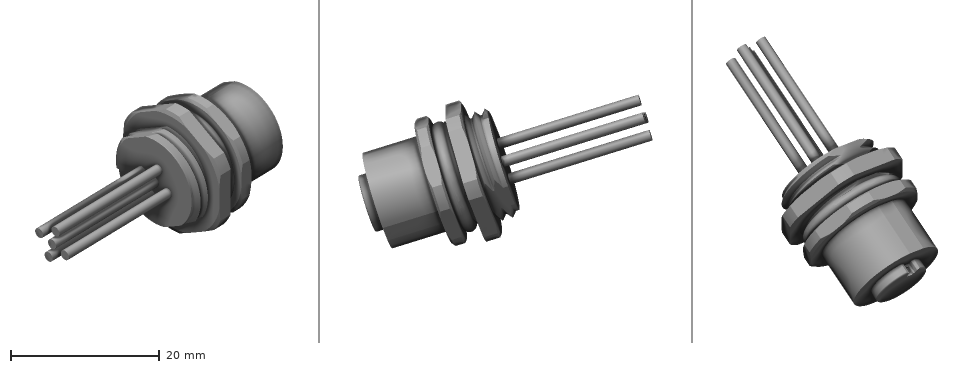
import cadquery as cq
import math


total_length = 39.5
cutter_clearance = 0.4

shell_length = 17.95
flange_back = 9.95
body_radius = 6.75
core_radius = 6.87
flat_angle = 120
flat_distance = 6.65

crest_radius = 7.6
pitch = 1.42
ridge_half_width = 0.67
ridge_root_overlap = 0.08
ridge_turns = 4.4
ridge_end_angle = 190
ridge_end_depth = 0.28

nut_front = 3.2
nut_width = 2.2
nut_across_flats = 18.0
nut_corner_radius = 9.75
nut_chamfer = (0.25, 0.6)
flange_width = 1.98
flange_across_flats = 17.05
flange_corner_radius = 9.0
flange_back_chamfer = (0.35, 0.45)
flange_front_chamfer = (0.28, 0.45)

ring_depth = 7.05
ring_radius = 6.8
ring_section_radius = 1.0

insert_length = 1.5
insert_radius = 4.0
insert_edge_fillet = 0.25
keyway_angle = 120
keyway_mouth_width = 2.35
keyway_mouth_radius = 3.8
keyway_width = 1.42
keyway_flare_radius = 3.65
keyway_floor_radius = 2.95
groove_width = 0.85
groove_floor_radius = 2.55
groove_length = 1.15

wire_length = total_length - shell_length - insert_length
wire_radius = 0.75
wire_circle_radius = 2.5
outer_wire_count = 4
first_wire_angle = 75


def cylinder(radius, depth, length):
    """Solid cylinder whose back end is at the given depth."""
    return cq.Workplane("XY").workplane(offset=-depth).circle(radius).extrude(length)


def hexagon(across_flats, corner_radius, depth, width, back_chamfer, front_chamfer):
    """Hexagon with two flats facing +X and -X, turned corners and optional chamfers."""
    corner_to_corner = across_flats / math.cos(math.pi / 6)
    prism = (
        cq.Workplane("XY")
        .workplane(offset=-depth)
        .transformed(rotate=(0, 0, 30))
        .polygon(6, corner_to_corner)
        .extrude(width)
    )
    blank = cylinder(corner_radius, depth, width)
    if back_chamfer:
        blank = blank.faces("<Z").chamfer(*back_chamfer)
    if front_chamfer:
        blank = blank.faces(">Z").chamfer(*front_chamfer)
    return prism.intersect(blank)


def thread_ridge():
    """Right-hand V ridge wound on the core, cut off level with the wire face."""
    height = ridge_turns * pitch
    start_angle = ridge_end_angle - 360 * ridge_turns
    helix = cq.Wire.makeHelix(pitch, height, core_radius)
    inner_radius = core_radius - ridge_root_overlap
    ridge = (
        cq.Workplane("XZ")
        .moveTo(inner_radius, -ridge_half_width)
        .lineTo(crest_radius, 0)
        .lineTo(inner_radius, ridge_half_width)
        .close()
        .sweep(cq.Workplane(obj=helix), isFrenet=True)
        .rotate((0, 0, 0), (0, 0, 1), start_angle)
        .translate((0, 0, -ridge_end_depth - height))
    )
    return ridge.intersect(cylinder(2 * crest_radius, shell_length, shell_length))


def flat_sided_slab():
    """Slab whose two faces are the parallel flats of the shell."""
    return (
        cq.Workplane("XY")
        .rect(2 * flat_distance, 4 * crest_radius)
        .extrude(-shell_length)
        .rotate((0, 0, 0), (0, 0, 1), flat_angle)
    )


def shell():
    """Plain body behind the flange and threaded core in front, with two flats."""
    body = cylinder(body_radius, shell_length, shell_length - flange_back)
    core = cylinder(core_radius, flange_back, flange_back)
    return core.union(thread_ridge()).union(body).intersect(flat_sided_slab())


def sealing_ring():
    ring = cq.Solid.makeTorus(ring_radius, ring_section_radius)
    return cq.Workplane(obj=ring).translate((0, 0, -ring_depth))


def keyway_cutter():
    """Cutter for the flared keyway over the full insert and the groove in its floor."""
    outside_radius = insert_radius + cutter_clearance
    insert_back = cq.Workplane("XY").workplane(offset=-shell_length - insert_length)
    half_outline = [
        (keyway_floor_radius, keyway_width / 2),
        (keyway_flare_radius, keyway_width / 2),
        (keyway_mouth_radius, keyway_mouth_width / 2),
        (outside_radius, keyway_mouth_width / 2),
    ]
    mirrored_outline = [(x, -y) for x, y in reversed(half_outline)]
    keyway = insert_back.polyline(half_outline + mirrored_outline).close().extrude(insert_length)
    groove = (
        insert_back.moveTo((groove_floor_radius + outside_radius) / 2, 0)
        .rect(outside_radius - groove_floor_radius, groove_width)
        .extrude(groove_length)
    )
    return keyway.union(groove).rotate((0, 0, 0), (0, 0, 1), keyway_angle)


def insert():
    """Contact carrier with a rounded back edge and a keyway."""
    carrier = cylinder(insert_radius, shell_length + insert_length, insert_length)
    carrier = carrier.faces("<Z").edges().fillet(insert_edge_fillet)
    return carrier.cut(keyway_cutter())


def wires():
    """One wire on the axis and a ring of wires around it."""
    return (
        cq.Workplane("XY")
        .polarArray(wire_circle_radius, first_wire_angle, 360, outer_wire_count)
        .circle(wire_radius)
        .extrude(wire_length)
        .union(cylinder(wire_radius, 0, wire_length))
    )


nut = hexagon(
    nut_across_flats, nut_corner_radius, nut_front + nut_width, nut_width, None, nut_chamfer
)
flange = hexagon(
    flange_across_flats,
    flange_corner_radius,
    flange_back,
    flange_width,
    flange_back_chamfer,
    flange_front_chamfer,
)

connector = shell().union(flange).union(sealing_ring()).union(nut).union(insert()).union(wires())
result = connector.rotate((0, 0, 0), (1, 0, 0), 90)